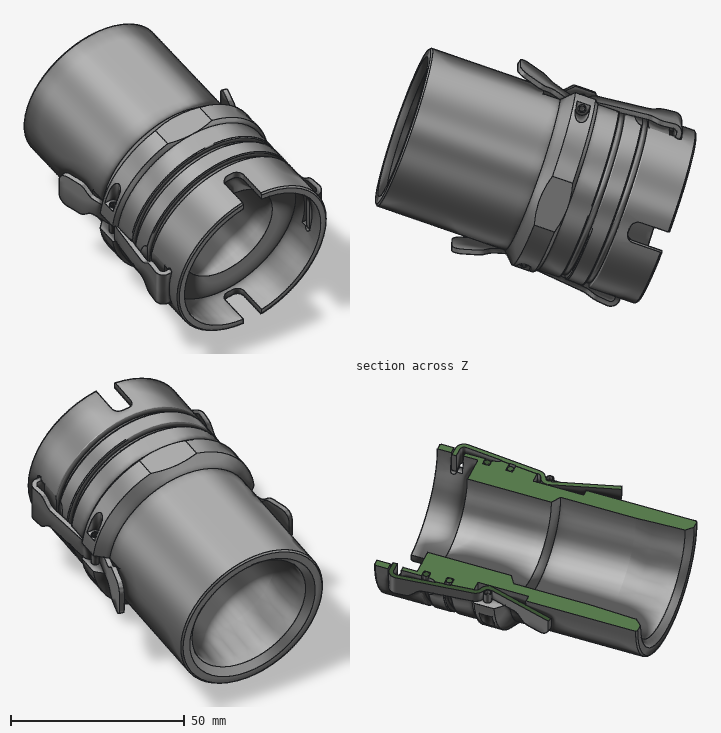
import cadquery as cq
import math

LENGTH = 80.6
SPAN_ACROSS_LEVERS = 58.7

PIPE_D = 48.2
BODY_D = 52.8
COLLAR_D = 55.0
COLLAR_X0 = 43.0
COLLAR_X1 = 49.2
EDGE_CHAMFER = 0.5

SOCKET_MOUTH_D = 42.6
SOCKET_D = 38.6
SOCKET_END_D = 37.3
SOCKET_END_X = 16.9
CONE_X = 40.3
THROAT_D = 31.7
CONE_LENGTH = 1.8
COUNTERBORE_D = 48.2
COUNTERBORE_X = 68.1

GROOVE_STARTS = (57.05, 64.2)
GROOVE_LIP_R = 0.3
RING_SECTION_D = 1.9
RING_OUTER_D = 50.6

KEY_SLOT_WIDTH = 6.45
KEY_SLOT_LENGTH = 11.3
KEY_SLOT_CORNER = 2.4

PIN_D = 2.4
PIN_BORE_D = 1.6
PIN_X = 46.0
PIN_Y = 24.7
PIN_LENGTH = 15.8
PIN_POCKET_D = 4.0

STRIP_THICKNESS = 1.45
NECK_WIDTH = 6.45
PADDLE_WIDTH = 12.6
PADDLE_CORNER = 3.15
LEVER_TILT = 16.0
LEVER_FLARE = 9.4
ARM_TILT = 5.8
ARM_FLARE = 20.15
NECK_OVERLAP = 6.45
BEND_R = 3.15
BEND_ANGLE = 16.0
KNEE_X = 72.8
KNEE_R = 2.7
HOOK_TIP_Y = 23.4

CLIP_SLOT_X = 34.5
HOOK_FLAT_WIDTH = 13.5
HOOK_FLAT_X0 = 64.0
HOOK_FLAT_X1 = 76.2
HOOK_FLAT_RUNOUT_R = 4.0
HOOK_FLAT_Y = math.sqrt((BODY_D / 2) ** 2 - (HOOK_FLAT_WIDTH / 2) ** 2)
HOOK_WINDOW_X0 = 72.5
HOOK_WINDOW_HEIGHT = 12.7
HOOK_RELIEF_D = 1.9

SIDES = (0, 180)
FAR = 80.6


def polar(centre, radius, degrees):
    """Point at a radius and an angle from +X round a centre in the XY plane."""
    angle = math.radians(degrees)
    return (centre[0] + radius * math.cos(angle), centre[1] + radius * math.sin(angle))


def centred_prism(profile, width):
    """Extrude a profile from the XY plane to a width centred on that plane."""
    return profile.extrude(width).translate((0, 0, -width / 2))


def on_side(body, turn):
    return body.rotate((0, 0, 0), (1, 0, 0), turn)


PIN = (PIN_X, PIN_Y)
PIN_R = PIN_D / 2
LEVER_NORMAL = 90 - LEVER_TILT
ARM_NORMAL = 90 + ARM_TILT
BEND_CENTRE = polar(PIN, PIN_R + BEND_R, -BEND_ANGLE)
LEVER_FOOT_Y = polar(PIN, -PIN_R, LEVER_NORMAL)[1]
LEVER_LENGTH = (SPAN_ACROSS_LEVERS / 2 - LEVER_FOOT_Y) / math.sin(math.radians(LEVER_TILT))
ARM_START_X = polar(BEND_CENTRE, BEND_R, ARM_NORMAL)[0]
ARM_LENGTH = (KNEE_X - ARM_START_X) / math.cos(math.radians(ARM_TILT))


def clip_face(depth):
    """Points from lever tip to hook tip along a clip face, `depth` below the outer face."""
    wrap_r = PIN_R + depth
    bend_r = BEND_R - depth
    knee_r = KNEE_R - depth
    lever_foot = polar(PIN, -wrap_r, LEVER_NORMAL)
    lever_tip = polar(lever_foot, LEVER_LENGTH, 180 - LEVER_TILT)
    wrap_mid = polar(PIN, wrap_r, (LEVER_NORMAL - 180 - BEND_ANGLE) / 2)
    wrap_end = polar(PIN, wrap_r, -BEND_ANGLE)
    bend_mid = polar(BEND_CENTRE, bend_r, (180 - BEND_ANGLE + ARM_NORMAL) / 2)
    arm_start = polar(BEND_CENTRE, bend_r, ARM_NORMAL)
    arm_end = polar(arm_start, ARM_LENGTH, ARM_TILT)
    knee = polar(arm_end, -knee_r, ARM_NORMAL)
    knee_mid = polar(knee, knee_r, ARM_NORMAL / 2)
    hook_top = polar(knee, knee_r, 0)
    hook_tip = (hook_top[0], HOOK_TIP_Y)
    lever = [lever_tip, lever_foot, wrap_mid, wrap_end]
    arm = [bend_mid, arm_start, arm_end]
    hook = [knee_mid, hook_top, hook_tip]
    return lever, arm, hook


def strip_section():
    """Bent strip seen along Z: along the outer face to the hook tip and back along the inner face."""
    lever, arm, hook = clip_face(0)
    tip, foot, wrap_mid, wrap_end = lever
    bend_mid, arm_start, arm_end = arm
    knee_mid, hook_top, hook_tip = hook
    section = cq.Workplane("XY").moveTo(*tip).lineTo(*foot).threePointArc(wrap_mid, wrap_end)
    section = section.threePointArc(bend_mid, arm_start).lineTo(*arm_end)
    section = section.threePointArc(knee_mid, hook_top).lineTo(*hook_tip)

    lever, arm, hook = clip_face(STRIP_THICKNESS)
    tip, foot, wrap_mid, wrap_end = lever
    bend_mid, arm_start, arm_end = arm
    knee_mid, hook_top, hook_tip = hook
    section = section.lineTo(*hook_tip).lineTo(*hook_top).threePointArc(knee_mid, arm_end)
    section = section.lineTo(*arm_start).threePointArc(bend_mid, wrap_end)
    return section.threePointArc(wrap_mid, foot).lineTo(*tip).close()


def paddle_prism(direction, flare_start, length):
    """Prism with the outline of a neck that flares to a paddle, seen square to the given direction."""
    angle = math.radians(direction)
    plane = cq.Plane(
        origin=(PIN_X, PIN_Y, 0),
        xDir=(math.cos(angle), math.sin(angle), 0),
        normal=(-math.sin(angle), math.cos(angle), 0),
    )
    half_neck = NECK_WIDTH / 2
    half_paddle = PADDLE_WIDTH / 2
    flare_end = flare_start + half_paddle - half_neck
    one_edge = [
        (-NECK_OVERLAP, half_neck),
        (flare_start, half_neck),
        (flare_end, half_paddle),
        (length, half_paddle),
    ]
    other_edge = [(along, -across) for along, across in reversed(one_edge)]
    outline = cq.Sketch().polygon(one_edge + other_edge + one_edge[:1]).vertices().fillet(PADDLE_CORNER)
    return cq.Workplane(plane).workplane(offset=-FAR / 2).placeSketch(outline).extrude(FAR)


def make_clip(turn):
    strip = centred_prism(strip_section(), PADDLE_WIDTH)
    lever = paddle_prism(180 - LEVER_TILT, LEVER_FLARE, LEVER_LENGTH)
    arm = paddle_prism(ARM_TILT, ARM_FLARE, FAR)
    return on_side(strip.intersect(lever.union(arm)), turn)


def make_pin(turn):
    pin = cq.Workplane("XY").center(*PIN).circle(PIN_R).circle(PIN_BORE_D / 2)
    return on_side(centred_prism(pin, PIN_LENGTH), turn)


def make_ring(groove_start):
    section_r = RING_SECTION_D / 2
    centre = (groove_start + section_r, RING_OUTER_D / 2 - section_r)
    section = cq.Workplane("XY").moveTo(*centre).circle(section_r)
    return section.revolve(360, (0, 0), (1, 0))


def turned_blank():
    """Outside and bore of the housing, revolved from a half section."""
    pipe_r = PIPE_D / 2
    body_r = BODY_D / 2
    collar_r = COLLAR_D / 2
    cone_end_x = CONE_X + CONE_LENGTH
    mouth_chamfer = (SOCKET_MOUTH_D - SOCKET_D) / 2
    half_section = [
        (0, SOCKET_MOUTH_D / 2),
        (0, pipe_r - EDGE_CHAMFER),
        (EDGE_CHAMFER, pipe_r),
        (COLLAR_X0 - (collar_r - pipe_r), pipe_r),
        (COLLAR_X0, collar_r),
        (COLLAR_X1, collar_r),
        (COLLAR_X1 + collar_r - body_r, body_r),
        (LENGTH - EDGE_CHAMFER, body_r),
        (LENGTH, body_r - EDGE_CHAMFER),
        (LENGTH, COUNTERBORE_D / 2),
        (COUNTERBORE_X, COUNTERBORE_D / 2),
        (COUNTERBORE_X, THROAT_D / 2),
        (cone_end_x, THROAT_D / 2),
        (CONE_X, SOCKET_END_D / 2),
        (SOCKET_END_X, SOCKET_END_D / 2),
        (mouth_chamfer, SOCKET_D / 2),
    ]
    return cq.Workplane("XY").polyline(half_section).close().revolve(360, (0, 0), (1, 0))


def collar_flats():
    """Blocks above and below the two flats, which are level with the body's diameter."""
    width = COLLAR_X1 + COLLAR_D - COLLAR_X0
    block = cq.Workplane("XY").box(width, COLLAR_D, COLLAR_D).translate(
        ((COLLAR_X0 + COLLAR_X1) / 2, 0, (BODY_D + COLLAR_D) / 2)
    )
    return block.union(on_side(block, 180))


def seal_groove(start):
    """Groove as wide and deep as the ring's section, with rounded lips."""
    end = start + RING_SECTION_D
    floor_r = RING_OUTER_D / 2 - RING_SECTION_D
    surface_r = BODY_D / 2
    lip_r = surface_r - GROOVE_LIP_R
    left_lip_mid = polar((start - GROOVE_LIP_R, lip_r), GROOVE_LIP_R, 45)
    right_lip_mid = polar((end + GROOVE_LIP_R, lip_r), GROOVE_LIP_R, 135)
    section = cq.Workplane("XY").moveTo(start, floor_r).lineTo(start, lip_r)
    section = section.threePointArc(left_lip_mid, (start - GROOVE_LIP_R, surface_r))
    section = section.lineTo(end + GROOVE_LIP_R, surface_r)
    section = section.threePointArc(right_lip_mid, (end, lip_r)).lineTo(end, floor_r).close()
    return section.revolve(360, (0, 0), (1, 0))


def key_slots():
    slot = cq.Workplane("XY").box(2 * KEY_SLOT_LENGTH, KEY_SLOT_WIDTH, FAR)
    return slot.edges("<X and |Z").fillet(KEY_SLOT_CORNER).translate((LENGTH, 0, 0))


def pin_seat():
    """Hole for a pin, with a pocket at each end that is open to the outside."""
    hole = centred_prism(cq.Workplane("XY").center(*PIN).circle(PIN_R), PIN_LENGTH)
    pocket = cq.Workplane("XY").workplane(offset=PIN_LENGTH / 2).center(*PIN)
    pocket = pocket.circle(PIN_POCKET_D / 2).extrude(FAR)
    opening = cq.Workplane("XY").box(PIN_POCKET_D, FAR, FAR, centered=(True, False, False))
    pocket = pocket.union(opening.translate((PIN_X, PIN_Y, PIN_LENGTH / 2)))
    return hole.union(pocket).union(pocket.mirror("XY"))


def clip_slot():
    """Slot for the neck of a clip, with a level floor under the pin and a sloping one under the arm."""
    floor_y = PIN_Y - PIN_R - STRIP_THICKNESS
    _, (_, arm_under, _), _ = clip_face(STRIP_THICKNESS)
    profile = [
        (CLIP_SLOT_X, FAR),
        (CLIP_SLOT_X, floor_y),
        (arm_under[0], floor_y),
        arm_under,
        polar(arm_under, ARM_LENGTH, ARM_TILT),
        (KNEE_X, FAR),
    ]
    return centred_prism(cq.Workplane("XY").polyline(profile).close(), NECK_WIDTH)


def hook_flat():
    """Flat under the arm's paddle, which runs out in an arc towards the grooves."""
    runout_x = HOOK_FLAT_X0 - HOOK_FLAT_RUNOUT_R
    runout_y = HOOK_FLAT_Y + HOOK_FLAT_RUNOUT_R
    runout_mid = polar((HOOK_FLAT_X0, runout_y), HOOK_FLAT_RUNOUT_R, 225)
    profile = cq.Workplane("XY").moveTo(runout_x, runout_y)
    profile = profile.threePointArc(runout_mid, (HOOK_FLAT_X0, HOOK_FLAT_Y))
    profile = profile.lineTo(HOOK_FLAT_X1, HOOK_FLAT_Y).lineTo(HOOK_FLAT_X1, runout_y).close()
    return centred_prism(profile, FAR)


def hook_window():
    """Window through the wall for the hook, with round reliefs at its two right corners."""
    width = HOOK_FLAT_X1 - HOOK_WINDOW_X0
    window = cq.Workplane("XY").box(width, FAR, HOOK_WINDOW_HEIGHT, centered=(False, False, True))
    window = window.translate((HOOK_WINDOW_X0, 0, 0))
    relief_x = HOOK_FLAT_X1 - HOOK_RELIEF_D / 2
    half_height = HOOK_WINDOW_HEIGHT / 2
    reliefs = cq.Workplane("XZ").pushPoints([(relief_x, half_height), (relief_x, -half_height)])
    return window.union(reliefs.circle(HOOK_RELIEF_D / 2).extrude(-FAR))


def make_housing():
    housing = turned_blank().cut(collar_flats()).cut(key_slots())
    for start in GROOVE_STARTS:
        housing = housing.cut(seal_groove(start))
    for turn in SIDES:
        for cutter in (pin_seat(), clip_slot(), hook_flat(), hook_window()):
            housing = housing.cut(on_side(cutter, turn))
    return housing


housing = make_housing()
rings = [make_ring(start) for start in GROOVE_STARTS]
pins = [make_pin(turn) for turn in SIDES]
clips = [make_clip(turn) for turn in SIDES]

result = cq.Compound.makeCompound([body.val() for body in [housing, *rings, *pins, *clips]])